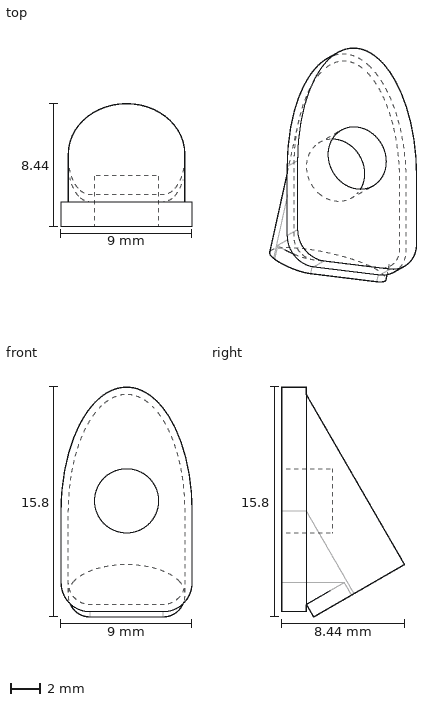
import cadquery as cq
import math

plate_thickness = 1.7
spring_height = 6.9
plate_corner_radius = 2.0
plate_margin = 0.5

body_radius = 4.0
lean_angle = 30.0
foot_thickness = 1.0

bore_diameter = 4.4
bore_depth = 3.5
bore_height = 7.6

lean = math.radians(lean_angle)
body_rise = body_radius / math.sin(lean)
plate_half_width = body_radius + plate_margin
plate_rise = body_rise + plate_margin
plate_height = spring_height + plate_rise
body_corner_radius = plate_corner_radius - plate_margin

foot_arc_start = (spring_height - plate_margin) * math.sin(lean)
body_length = (plate_height - plate_margin) / math.cos(lean)

foot_plane = cq.Plane(
    origin=(0, plate_thickness, plate_margin),
    xDir=(1, 0, 0),
    normal=(0, -math.sin(lean), math.cos(lean)),
)


def make_plate():
    """Plate with straight sides, rounded lower corners and a half-ellipse on top."""
    return (
        cq.Workplane("XZ")
        .moveTo(plate_half_width, spring_height)
        .ellipseArc(plate_half_width, plate_rise, 0, 180, startAtCurrent=True)
        .lineTo(-plate_half_width, 0)
        .lineTo(plate_half_width, 0)
        .close()
        .extrude(-plate_thickness)
        .edges("|Y and <Z")
        .fillet(plate_corner_radius)
    )


def make_body():
    """Leaning D-shaped prism behind the plate, its lower corners rounded along Y."""
    prism = (
        cq.Workplane(foot_plane)
        .moveTo(-body_radius, 0)
        .lineTo(-body_radius, foot_arc_start)
        .threePointArc((0, foot_arc_start + body_radius), (body_radius, foot_arc_start))
        .lineTo(body_radius, 0)
        .close()
        .extrude(body_length)
    )
    envelope = (
        cq.Workplane("XY", origin=(0, plate_thickness, plate_margin))
        .box(2 * body_radius, 2 * body_length, 2 * body_length, centered=(True, False, False))
        .edges("|Y and <Z")
        .fillet(body_corner_radius)
    )
    return prism.intersect(envelope)


def make_foot(body):
    """Slab continuing the lower end face of the body along its axis."""
    end_face = body.faces(cq.selectors.DirectionMinMaxSelector(foot_plane.zDir, False)).val()
    return cq.Workplane(cq.Solid.extrudeLinear(end_face, foot_plane.zDir * -foot_thickness))


def make_bore():
    """Blind round bore, square to the plate."""
    return (
        cq.Workplane("XZ", origin=(0, 0, bore_height))
        .circle(bore_diameter / 2)
        .extrude(-bore_depth)
    )


body = make_body()
result = make_plate().union(body).union(make_foot(body)).cut(make_bore())